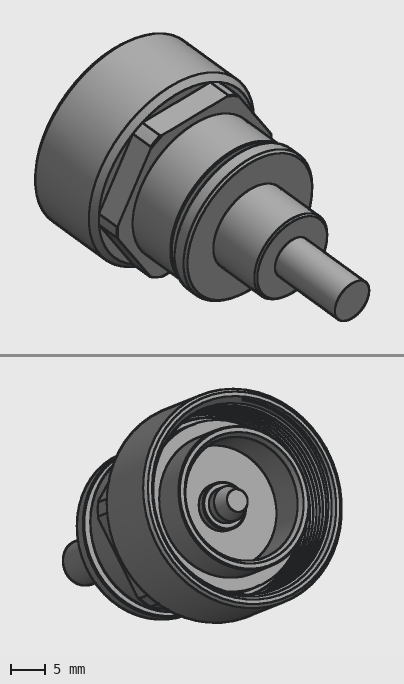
import cadquery as cq
import math

TOTAL_LENGTH = 50.5
OVERLAP = 0.5

NUT_END, NUT_RADIUS = 13.0, 16.0
NUT_FRONT_CHAMFER, NUT_BACK_CHAMFER = 0.5, 1.0
HEX_END = 16.9
HEX_ACROSS_FLATS = 26.95
HEX_CORNER_RADIUS = NUT_RADIUS - NUT_BACK_CHAMFER
BODY_END, BODY_RADIUS = 25.1, 12.0
NECK_END, NECK_RADIUS = 26.2, 10.15
FLANGE_END, FLANGE_RADIUS, FLANGE_BACK_CHAMFER = 28.7, 12.45, 0.4
FERRULE_END, FERRULE_RADIUS, FERRULE_CHAMFER = 37.7, 7.05, 0.3
CABLE_RADIUS = 3.35
EDGE_BREAK = 0.15

CAVITY_DEPTH = 9.1
THREAD_CREST_RADIUS = 13.85
THREAD_START, THREAD_PITCH, THREAD_TURNS = 0.0, 1.0, 8
THREAD_FLANK_ANGLE = 60.0
THREAD_LAND = 0.1
THREAD_INSET = 0.025
LEAD_IN_RADIUS, LEAD_IN_DEPTH = 14.85, 1.35
SHOULDER_RADIUS, SHOULDER_FRONT = 13.4, 8.35
BOSS_RADIUS, BOSS_FRONT = 12.5, 6.2

SLEEVE_RADIUS = 10.5
SOCKET_RADIUS, SOCKET_DEPTH = 9.05, 7.45
SOCKET_MOUTH_RADIUS, SOCKET_MOUTH_DEPTH = 9.6, 0.8
COLLAR_RADIUS, COLLAR_FRONT = 3.5, 6.05
PIN_RADIUS, PIN_SHOULDER = 2.6, 4.45
PIN_TIP_RADIUS, PIN_FRONT = 1.65, 2.1


def cylinder(start, end, radius):
    """Solid cylinder along X."""
    return cq.Workplane("YZ").workplane(offset=start).circle(radius).extrude(end - start)


def cone(start, end, start_radius, end_radius):
    """Solid cone frustum along X."""
    outline = [(start, 0), (start, start_radius), (end, end_radius), (end, 0)]
    return cq.Workplane("XY").polyline(outline).close().revolve(360, (0, 0), (1, 0))


def nut_hex():
    """Hexagon with flats facing +Z and -Z and corners turned down to a cylinder."""
    across_corners = HEX_ACROSS_FLATS / math.cos(math.pi / 6)
    hexagon = (
        cq.Workplane("YZ").workplane(offset=NUT_END - OVERLAP)
        .polygon(6, across_corners).extrude(HEX_END - NUT_END + OVERLAP)
    )
    turned = cylinder(0, HEX_END, HEX_CORNER_RADIUS).faces(">X").chamfer(EDGE_BREAK)
    return hexagon.intersect(turned)


def outer_body():
    nut = cylinder(0, NUT_END, NUT_RADIUS)
    nut = nut.faces("<X").chamfer(NUT_FRONT_CHAMFER).faces(">X").chamfer(NUT_BACK_CHAMFER)
    body = cylinder(NUT_END, BODY_END, BODY_RADIUS).faces(">X").chamfer(EDGE_BREAK)
    neck = cylinder(BODY_END - OVERLAP, NECK_END + OVERLAP, NECK_RADIUS)
    flange = cylinder(NECK_END, FLANGE_END, FLANGE_RADIUS)
    flange = flange.faces("<X").chamfer(EDGE_BREAK).faces(">X").chamfer(FLANGE_BACK_CHAMFER)
    ferrule = cylinder(FLANGE_END - OVERLAP, FERRULE_END, FERRULE_RADIUS)
    ferrule = ferrule.faces(">X").chamfer(FERRULE_CHAMFER)
    cable = cylinder(FERRULE_END - OVERLAP, TOTAL_LENGTH, CABLE_RADIUS)
    return nut.union(nut_hex()).union(body).union(neck).union(flange).union(ferrule).union(cable)


def thread_groove():
    """Right-handed helical V groove in the nut bore, starting at the top (+Z)."""
    slope = math.tan(math.radians(THREAD_FLANK_ANGLE))
    half_width = (THREAD_PITCH - THREAD_LAND) / 2
    root_radius = THREAD_CREST_RADIUS + half_width * slope
    base_radius = THREAD_CREST_RADIUS - THREAD_INSET
    base_half_width = (root_radius - base_radius) / slope
    helix = cq.Wire.makeHelix(THREAD_PITCH, THREAD_PITCH * THREAD_TURNS, base_radius)
    groove = (
        cq.Workplane("XZ")
        .polyline([(base_radius, -base_half_width), (root_radius, 0), (base_radius, base_half_width)])
        .close().sweep(cq.Workplane(helix), isFrenet=True)
    )
    groove = groove.rotate((0, 0, 0), (0, 1, 0), 90).rotate((0, 0, 0), (1, 0, 0), 180)
    return groove.translate((THREAD_START + half_width, 0, 0))


def threaded_cavity():
    """Annular space in the nut, around the sleeve."""
    cavity = cylinder(0, CAVITY_DEPTH, THREAD_CREST_RADIUS)
    cavity = cavity.union(cone(0, LEAD_IN_DEPTH, LEAD_IN_RADIUS, THREAD_CREST_RADIUS))
    shoulder = cylinder(SHOULDER_FRONT, CAVITY_DEPTH, SHOULDER_RADIUS)
    shoulder = shoulder.faces("<X").chamfer(EDGE_BREAK)
    boss = cylinder(BOSS_FRONT, CAVITY_DEPTH, BOSS_RADIUS)
    sleeve = cylinder(0, CAVITY_DEPTH, SLEEVE_RADIUS).faces("<X").chamfer(EDGE_BREAK)
    return cavity.cut(shoulder).cut(boss).cut(sleeve)


def socket():
    """Bore of the sleeve with a flared mouth."""
    bore = cylinder(0, SOCKET_DEPTH, SOCKET_RADIUS)
    return bore.union(cone(0, SOCKET_MOUTH_DEPTH, SOCKET_MOUTH_RADIUS, SOCKET_RADIUS))


def centre_pin():
    """Tapered pin standing on a low collar at the bottom of the socket."""
    back = SOCKET_DEPTH + OVERLAP
    collar = cylinder(COLLAR_FRONT, back, COLLAR_RADIUS).faces("<X").chamfer(EDGE_BREAK)
    shank = cylinder(PIN_SHOULDER, back, PIN_RADIUS)
    tip = cone(PIN_FRONT, PIN_SHOULDER, PIN_TIP_RADIUS, PIN_RADIUS)
    return collar.union(shank).union(tip)


result = outer_body().cut(threaded_cavity()).cut(thread_groove())
result = result.cut(socket()).union(centre_pin())